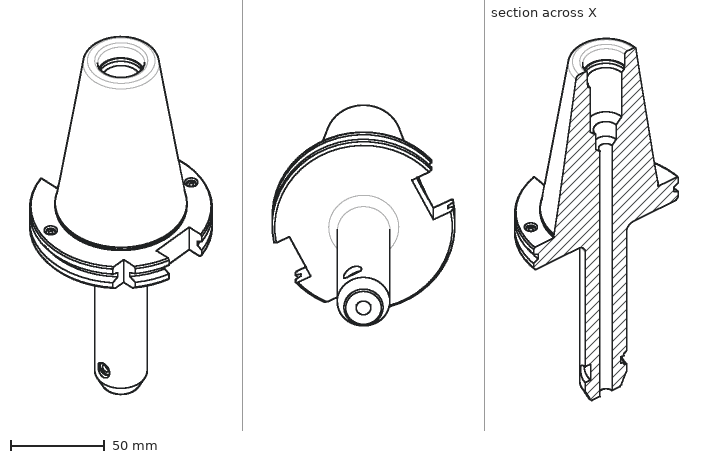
import cadquery as cq
import math

TOTAL_LENGTH = 231.8
GAUGE_Z = 129.0
TAPER_SLOPE = 7 / 48
GAUGE_RADIUS = 35.0
TOP_ROUND = 2.3

COLLAR_RADIUS = 35.2
NECK_RADIUS = 35.0
NECK_HEIGHT = 1.0

FLANGE_RADIUS = 48.7
FLANGE_TOP = 126.8
FLANGE_BOTTOM = 110.5
TOP_CHAMFER_WIDTH = 0.7
TOP_CHAMFER_HEIGHT = 1.2
BOTTOM_CHAMFER_WIDTH = 1.5
BOTTOM_CHAMFER_HEIGHT = 1.9

GROOVE_Z = 119.0
GROOVE_RADIUS = 45.7
GROOVE_FLOOR_WIDTH = 2.8
GROOVE_MOUTH_WIDTH = 6.3

SHANK_DIAMETER = 28.0
SHANK_RADIUS = SHANK_DIAMETER / 2
SHANK_BLEND = 4.6
TIP_RADIUS = 10.5
TIP_CONE_TOP = 8.5
TIP_CHAMFER = 1.0

DRIVE_SLOT_WIDTH = 25.5
LEFT_SLOT_FLOOR = 35.2
RIGHT_SLOT_FLOOR = 37.8
CORNER_NOTCH = 30.0

COOLANT_PITCH_RADIUS = 42.0
COOLANT_ANGLES = (70, 250)
COOLANT_MOUTH_RADIUS = 3.5
COOLANT_SCREW_RADIUS = 2.5
COOLANT_SCREW_RECESS = 1.9
COOLANT_SOCKET_RADIUS = 1.2
COOLANT_SOCKET_DEPTH = 3.7
PIN_HOLE_RADIUS = 1.2
PIN_HOLE_DEPTH = 3.5

MOUTH_RADIUS = 14.1
COUNTERBORE_RADIUS = 12.5
COUNTERBORE_DEPTH = 9.5
LEDGE_RADIUS = 12.0
LEDGE_DEPTH = 11.5
THREAD_RADIUS = 10.5
THREAD_DEPTH = 44.0
STEP_RADIUS = 6.7
STEP_DEPTH = 58.0
THROUGH_RADIUS = 4.0

CLAMP_Z = 18.0
CLAMP_MOUTH_RADIUS = 4.9
CLAMP_SCREW_RADIUS = 3.7
CLAMP_SCREW_RECESS = 1.9
CLAMP_SOCKET_RADIUS = 2.0
CLAMP_SOCKET_DEPTH = 4.0
BALANCE_Z = 20.5
BALANCE_RADIUS = 5.3
BALANCE_DEPTH = 3.5


def outer_body():
    """Solid of revolution: shank, grooved flange, collar and taper."""
    top_radius = GAUGE_RADIUS - TAPER_SLOPE * (TOTAL_LENGTH - GAUGE_Z)
    floor_half = GROOVE_FLOOR_WIDTH / 2
    mouth_half = GROOVE_MOUTH_WIDTH / 2
    blend_middle = SHANK_BLEND * (1 - math.sqrt(0.5))
    profile = (
        cq.Workplane("XZ")
        .lineTo(TIP_RADIUS - TIP_CHAMFER, 0)
        .lineTo(TIP_RADIUS, TIP_CHAMFER)
        .lineTo(SHANK_RADIUS, TIP_CONE_TOP)
        .lineTo(SHANK_RADIUS, FLANGE_BOTTOM - SHANK_BLEND)
        .threePointArc(
            (SHANK_RADIUS + blend_middle, FLANGE_BOTTOM - blend_middle),
            (SHANK_RADIUS + SHANK_BLEND, FLANGE_BOTTOM),
        )
        .lineTo(FLANGE_RADIUS - BOTTOM_CHAMFER_WIDTH, FLANGE_BOTTOM)
        .lineTo(FLANGE_RADIUS, FLANGE_BOTTOM + BOTTOM_CHAMFER_HEIGHT)
        .lineTo(FLANGE_RADIUS, GROOVE_Z - mouth_half)
        .lineTo(GROOVE_RADIUS, GROOVE_Z - floor_half)
        .lineTo(GROOVE_RADIUS, GROOVE_Z + floor_half)
        .lineTo(FLANGE_RADIUS, GROOVE_Z + mouth_half)
        .lineTo(FLANGE_RADIUS, FLANGE_TOP - TOP_CHAMFER_HEIGHT)
        .lineTo(FLANGE_RADIUS - TOP_CHAMFER_WIDTH, FLANGE_TOP)
        .lineTo(NECK_RADIUS, FLANGE_TOP)
        .lineTo(NECK_RADIUS, FLANGE_TOP + NECK_HEIGHT)
        .lineTo(COLLAR_RADIUS, FLANGE_TOP + NECK_HEIGHT)
        .lineTo(COLLAR_RADIUS, GAUGE_Z)
        .lineTo(GAUGE_RADIUS, GAUGE_Z)
        .lineTo(top_radius, TOTAL_LENGTH)
        .lineTo(0, TOTAL_LENGTH)
        .close()
    )
    body = profile.revolve(360, (0, 0, 0), (0, 1, 0))
    return body.faces(">Z").edges().fillet(TOP_ROUND)


def central_bore():
    """Stepped bore that runs through the whole length."""
    mouth_round = MOUTH_RADIUS - COUNTERBORE_RADIUS
    round_middle = mouth_round * (1 - math.sqrt(0.5))
    seat = LEDGE_RADIUS - THREAD_RADIUS
    thread_cone = THREAD_RADIUS - STEP_RADIUS
    step_cone = STEP_RADIUS - THROUGH_RADIUS
    return (
        cq.Workplane("XZ", origin=(0, 0, TOTAL_LENGTH))
        .lineTo(MOUTH_RADIUS, 0)
        .threePointArc(
            (COUNTERBORE_RADIUS + round_middle, -round_middle),
            (COUNTERBORE_RADIUS, -mouth_round),
        )
        .lineTo(COUNTERBORE_RADIUS, -COUNTERBORE_DEPTH)
        .lineTo(LEDGE_RADIUS, -COUNTERBORE_DEPTH)
        .lineTo(LEDGE_RADIUS, -LEDGE_DEPTH)
        .lineTo(THREAD_RADIUS, -LEDGE_DEPTH - seat)
        .lineTo(THREAD_RADIUS, -THREAD_DEPTH)
        .lineTo(STEP_RADIUS, -THREAD_DEPTH - thread_cone)
        .lineTo(STEP_RADIUS, -STEP_DEPTH)
        .lineTo(THROUGH_RADIUS, -STEP_DEPTH - step_cone)
        .lineTo(THROUGH_RADIUS, -TOTAL_LENGTH)
        .lineTo(0, -TOTAL_LENGTH)
        .close()
        .revolve(360, (0, 0, 0), (0, 1, 0))
    )


def flange_cut(x_start, x_end, y_start, y_end):
    """Rectangular cut through the full thickness of the flange."""
    return cq.Workplane("XY").box(
        x_end - x_start, y_end - y_start, FLANGE_TOP - FLANGE_BOTTOM, centered=False
    ).translate((x_start, y_start, FLANGE_BOTTOM))


def screw_recess(mouth_radius, screw_radius, screw_recess_depth, socket_radius, socket_depth):
    """Cutter along -Z from the origin: countersunk recess to a screw face, with a socket in it."""
    countersink = mouth_radius - screw_radius
    return (
        cq.Workplane("XZ")
        .lineTo(mouth_radius, 0)
        .lineTo(screw_radius, -countersink)
        .lineTo(screw_radius, -screw_recess_depth)
        .lineTo(socket_radius, -screw_recess_depth)
        .lineTo(socket_radius, -socket_depth)
        .lineTo(0, -socket_depth)
        .close()
        .revolve(360, (0, 0, 0), (0, 1, 0))
    )


def coolant_hole(angle):
    """Screw recess in the flange top, with a blind pin hole in the groove below it."""
    recess = screw_recess(
        COOLANT_MOUTH_RADIUS,
        COOLANT_SCREW_RADIUS,
        COOLANT_SCREW_RECESS,
        COOLANT_SOCKET_RADIUS,
        COOLANT_SOCKET_DEPTH,
    ).translate((COOLANT_PITCH_RADIUS, 0, FLANGE_TOP))
    pin_hole = (
        cq.Workplane("YZ", origin=(GROOVE_RADIUS - PIN_HOLE_DEPTH, 0, GROOVE_Z))
        .circle(PIN_HOLE_RADIUS)
        .extrude(FLANGE_RADIUS - GROOVE_RADIUS + PIN_HOLE_DEPTH)
    )
    return recess.union(pin_hole).rotate((0, 0, 0), (0, 0, 1), angle)


def clamp_screw_recess():
    """Clamping screw recess on the -Y side of the shank."""
    recess = screw_recess(
        CLAMP_MOUTH_RADIUS,
        CLAMP_SCREW_RADIUS,
        CLAMP_SCREW_RECESS,
        CLAMP_SOCKET_RADIUS,
        CLAMP_SOCKET_DEPTH,
    )
    return recess.rotate((0, 0, 0), (1, 0, 0), 90).translate((0, -SHANK_RADIUS, CLAMP_Z))


def balancing_hole():
    """Shallow round pocket on the shank side opposite the clamping screw."""
    return (
        cq.Workplane("XZ", origin=(0, SHANK_RADIUS, BALANCE_Z))
        .circle(BALANCE_RADIUS)
        .extrude(BALANCE_DEPTH)
    )


half_slot = DRIVE_SLOT_WIDTH / 2

result = outer_body().cut(central_bore())
result = result.cut(flange_cut(-FLANGE_RADIUS, -LEFT_SLOT_FLOOR, -half_slot, half_slot))
result = result.cut(flange_cut(RIGHT_SLOT_FLOOR, FLANGE_RADIUS, -half_slot, half_slot))
result = result.cut(flange_cut(CORNER_NOTCH, FLANGE_RADIUS, -FLANGE_RADIUS, -CORNER_NOTCH))
for coolant_angle in COOLANT_ANGLES:
    result = result.cut(coolant_hole(coolant_angle))
result = result.cut(clamp_screw_recess())
result = result.cut(balancing_hole())